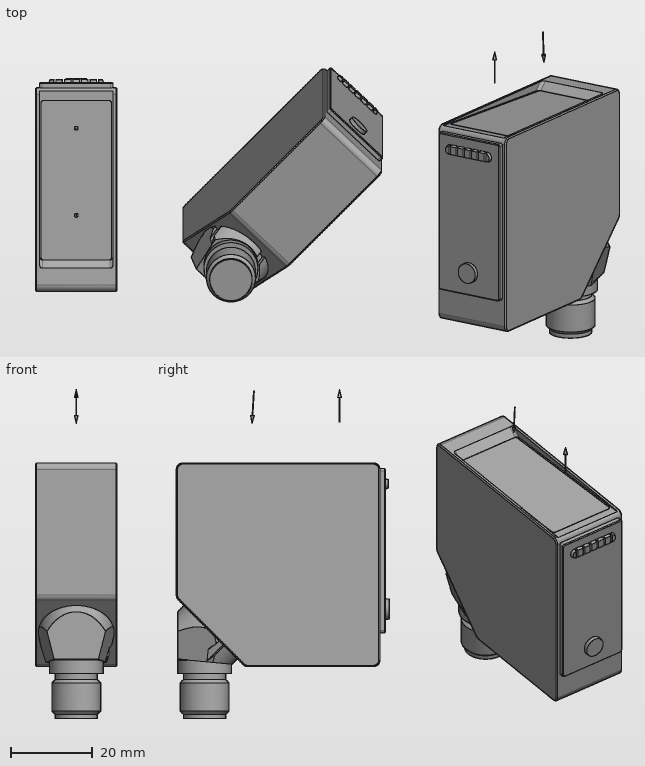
import cadquery as cq
import math


HOUSING_WIDTH = 20.0
HOUSING_SIDE = 49.95
CORNER_CUT = 16.9
CORNER_RADIUS = 1.6
EDGE_CHAMFER = 0.3

RECESS_WIDTH = 18.1
RECESS_FLOOR_BACK_Z = HOUSING_SIDE - 0.2
RECESS_DEPTH_FRONT = 1.9
RECESS_FLOOR_FRONT_Y = 7.75
RECESS_RIM_FRONT_Y = 5.7
RECESS_CORNER_RADIUS = 0.7
PANE_WIDTH = 17.3
PANE_BACK_Y = 46.8
PANE_STEP = 0.1
PANE_CORNER_RADIUS = 0.65

PLATE_WIDTH = 18.1
PLATE_BOTTOM_Z = 8.2
PLATE_TOP_Z = 48.6
PLATE_THICKNESS = 1.3
PLATE_CORNER_RADIUS = 0.65
PLATE_CHAMFER = 0.25
BUTTON_BASE_DIAMETER = 5.1
BUTTON_TOP_DIAMETER = 5.0
BUTTON_HEIGHT = 1.0
BUTTON_Z = 14.1
BAR_LENGTH = 13.4
BAR_WIDTH = 2.6
BAR_HEIGHT = 0.7
BAR_DRAFT = 20.0
BAR_Z = 44.8
BAR_SEGMENTS = 7
BAR_PITCH = 2.1
BAR_GAP = 0.5

ELBOW_DIAMETER = 18.55
ELBOW_FRONT_Y = 0.3
ELBOW_UNDERSIDE_Z = 1.85
ELBOW_UNDERSIDE_TILT = 5.4
ELBOW_FLAT_TAPER = 20.0
ELBOW_FLAT_OFFSET = 9.2
ELBOW_GROOVE_ANGLES = (24.5, -65.5)
ELBOW_GROOVE_WIDTH = 1.9
ELBOW_GROOVE_DEPTH = 1.0

PLUG_Y = 6.9
COLLAR_DIAMETER = 13.2
PLUG_NECK_DIAMETER = 10.4
PLUG_DIAMETER = 12.0
COLLAR_TOP_Z = 1.6
COLLAR_BOTTOM_Z = -1.7
PLUG_NECK_BOTTOM_Z = -3.15
PLUG_TOP_Z = -3.95
PLUG_BOTTOM_Z = -10.9
PLUG_TIP_TOP_Z = -11.7
PLUG_TIP_Z = -12.75

ARROW_LENGTH = 8.0
ARROW_HEAD_LENGTH = 2.0
ARROW_HEAD_DIAMETER = 1.0
ARROW_SHAFT_DIAMETER = 0.2
EMITTER_TAIL = (0, 40.0, 59.95)
RECEIVER_TAIL = (0, 19.05, 67.5)
RECEIVER_TILT = 3.5

REAR_PLATE_Y = HOUSING_SIDE + PLATE_THICKNESS
OVERLAP = 0.8
CLEARANCE = 24.2


def side_profile(points):
    """Closed outline of (y, z) points on the plane x = 0, extruded along +X."""
    return cq.Workplane("YZ").polyline(points).close()


def housing_block():
    outline = [
        (CORNER_CUT, 0),
        (HOUSING_SIDE, 0),
        (HOUSING_SIDE, HOUSING_SIDE),
        (0, HOUSING_SIDE),
        (0, CORNER_CUT),
    ]
    block = side_profile(outline).extrude(HOUSING_WIDTH / 2, both=True)
    block = block.edges("|X").fillet(CORNER_RADIUS)
    return block.faces("<X or >X").chamfer(EDGE_CHAMFER)


RECESS_FLOOR_FRONT_Z = HOUSING_SIDE - RECESS_DEPTH_FRONT
FLOOR_SLOPE = (RECESS_FLOOR_BACK_Z - RECESS_FLOOR_FRONT_Z) / (HOUSING_SIDE - RECESS_FLOOR_FRONT_Y)


def floor_z(y):
    """Height of the recess floor at depth y."""
    return RECESS_FLOOR_FRONT_Z + FLOOR_SLOPE * (y - RECESS_FLOOR_FRONT_Y)


def window_recess():
    """Wedge with a sloping floor and a ramp at its front, open to the rear."""
    back_y = HOUSING_SIDE + OVERLAP
    ramp_slope = RECESS_DEPTH_FRONT / (RECESS_FLOOR_FRONT_Y - RECESS_RIM_FRONT_Y)
    outline = [
        (RECESS_RIM_FRONT_Y - OVERLAP / ramp_slope, HOUSING_SIDE + OVERLAP),
        (RECESS_FLOOR_FRONT_Y, RECESS_FLOOR_FRONT_Z),
        (back_y, floor_z(back_y)),
        (back_y, HOUSING_SIDE + OVERLAP),
    ]
    wedge = side_profile(outline).extrude(RECESS_WIDTH / 2, both=True)
    ramp_side_edges = wedge.faces("<Y").edges("not |X")
    return ramp_side_edges.fillet(RECESS_CORNER_RADIUS)


def window_pane_pocket():
    """Shallow pocket in the sloping floor, with rounded corners."""
    front_y = RECESS_FLOOR_FRONT_Y
    outline = [
        (front_y, floor_z(front_y) - PANE_STEP),
        (PANE_BACK_Y, floor_z(PANE_BACK_Y) - PANE_STEP),
        (PANE_BACK_Y, HOUSING_SIDE),
        (front_y, HOUSING_SIDE),
    ]
    pocket = side_profile(outline).extrude(PANE_WIDTH / 2, both=True)
    return pocket.edges("|Z").fillet(PANE_CORNER_RADIUS)


def rear_plane(y):
    """Plane facing +Y at depth y; its local x is -X and its local y is Z."""
    return cq.Workplane(cq.Plane(origin=(0, y, 0), xDir=(-1, 0, 0), normal=(0, 1, 0)))


def cover_plate():
    height = PLATE_TOP_Z - PLATE_BOTTOM_Z
    plate = (
        rear_plane(HOUSING_SIDE - OVERLAP)
        .center(0, (PLATE_TOP_Z + PLATE_BOTTOM_Z) / 2)
        .rect(PLATE_WIDTH, height)
        .extrude(PLATE_THICKNESS + OVERLAP)
    )
    plate = plate.edges("|Y").fillet(PLATE_CORNER_RADIUS)
    return plate.faces(">Y").chamfer(PLATE_CHAMFER)


def button():
    draft = math.degrees(math.atan((BUTTON_BASE_DIAMETER - BUTTON_TOP_DIAMETER) / 2 / BUTTON_HEIGHT))
    return (
        rear_plane(REAR_PLATE_Y)
        .center(0, BUTTON_Z)
        .circle(BUTTON_BASE_DIAMETER / 2)
        .extrude(BUTTON_HEIGHT, taper=draft)
    )


def indicator_bar():
    """Long rounded bar with drafted sides, split by narrow gaps into equal segments."""
    bar = (
        rear_plane(REAR_PLATE_Y)
        .center(0, BAR_Z)
        .slot2D(BAR_LENGTH, BAR_WIDTH)
        .extrude(BAR_HEIGHT, taper=BAR_DRAFT)
    )
    gap_count = BAR_SEGMENTS - 1
    for index in range(gap_count):
        gap_x = (index - (gap_count - 1) / 2) * BAR_PITCH
        gap = (
            rear_plane(REAR_PLATE_Y)
            .center(gap_x, BAR_Z)
            .rect(BAR_GAP, BAR_WIDTH)
            .extrude(BAR_HEIGHT)
        )
        bar = bar.cut(gap)
    return bar


def swivel_plane():
    """Plane of the corner cut: local x is X, local y points up the cut, normal points outwards."""
    middle = CORNER_CUT / 2
    return cq.Plane(origin=(0, middle, middle), xDir=(1, 0, 0), normal=(0, -1, -1))


def swivel_elbow():
    length = CORNER_CUT
    plane = swivel_plane()
    elbow = (
        cq.Workplane(plane)
        .workplane(offset=-OVERLAP)
        .circle(ELBOW_DIAMETER / 2)
        .extrude(length + OVERLAP)
    )
    return elbow.intersect(elbow_flats(length)).intersect(elbow_front_and_underside()).cut(elbow_grooves(length))


def elbow_flats(length):
    """Wedge whose two sloping sides make the side flats of the elbow."""
    narrowing = math.tan(math.radians(ELBOW_FLAT_TAPER))
    base_half_width = ELBOW_FLAT_OFFSET + OVERLAP * narrowing
    end_half_width = ELBOW_FLAT_OFFSET - length * narrowing
    outline = [
        (-base_half_width, -OVERLAP),
        (base_half_width, -OVERLAP),
        (end_half_width, length),
        (-end_half_width, length),
    ]
    swivel = swivel_plane()
    across = cq.Plane(origin=swivel.origin, xDir=(1, 0, 0), normal=swivel.yDir * -1)
    return cq.Workplane(across).polyline(outline).close().extrude(CLEARANCE, both=True)


def elbow_front_and_underside():
    """Space behind the front flat and above the slightly tilted underside."""
    drop = CLEARANCE * math.tan(math.radians(ELBOW_UNDERSIDE_TILT))
    outline = [
        (ELBOW_FRONT_Y, ELBOW_UNDERSIDE_Z),
        (ELBOW_FRONT_Y + CLEARANCE, ELBOW_UNDERSIDE_Z - drop),
        (ELBOW_FRONT_Y + CLEARANCE, CLEARANCE),
        (ELBOW_FRONT_Y, CLEARANCE),
    ]
    return side_profile(outline).extrude(CLEARANCE, both=True)


def elbow_grooves(length):
    """Straight grooves along the swivel axis in the round side of the elbow."""
    grooves = cq.Workplane(swivel_plane())
    for angle in ELBOW_GROOVE_ANGLES:
        groove = (
            cq.Workplane(swivel_plane())
            .transformed(rotate=(0, 0, -angle))
            .center(0, -ELBOW_DIAMETER / 2)
            .rect(ELBOW_GROOVE_WIDTH, 2 * ELBOW_GROOVE_DEPTH)
            .extrude(length)
        )
        grooves = grooves.add(groove)
    return grooves.combine()


def plug():
    """Collar, neck and plug end turned about a vertical axis."""
    collar = COLLAR_DIAMETER / 2
    neck = PLUG_NECK_DIAMETER / 2
    barrel = PLUG_DIAMETER / 2
    outline = [
        (0, COLLAR_TOP_Z),
        (collar, COLLAR_TOP_Z),
        (collar, COLLAR_BOTTOM_Z),
        (neck, COLLAR_BOTTOM_Z),
        (neck, PLUG_NECK_BOTTOM_Z),
        (barrel, PLUG_TOP_Z),
        (barrel, PLUG_BOTTOM_Z),
        (neck, PLUG_TIP_TOP_Z),
        (neck, PLUG_TIP_Z),
        (0, PLUG_TIP_Z),
    ]
    return cq.Workplane("XZ", origin=(0, PLUG_Y, 0)).polyline(outline).close().revolve(360, (0, 0), (0, 1))


def sensor_housing():
    body = housing_block().cut(window_recess()).cut(window_pane_pocket())
    for feature in (cover_plate(), button(), indicator_bar(), swivel_elbow(), plug()):
        body = body.union(feature)
    return body


def beam_arrow(tail, direction):
    """Thin shaft from the tail with a conical head at its far end."""
    shaft = ARROW_SHAFT_DIAMETER / 2
    head = ARROW_HEAD_DIAMETER / 2
    head_start = ARROW_LENGTH - ARROW_HEAD_LENGTH
    outline = [
        (0, 0),
        (shaft, 0),
        (shaft, head_start),
        (head, head_start),
        (0, ARROW_LENGTH),
    ]
    plane = cq.Plane(origin=tail, xDir=(1, 0, 0), normal=cq.Vector(1, 0, 0).cross(cq.Vector(*direction)))
    return cq.Workplane(plane).polyline(outline).close().revolve(360, (0, 0), (0, 1))


tilt = math.radians(RECEIVER_TILT)
BEAM_ARROWS = (
    (EMITTER_TAIL, (0, 0, 1)),
    (RECEIVER_TAIL, (0, -math.sin(tilt), -math.cos(tilt))),
)

housing = sensor_housing()
arrows = [beam_arrow(tail, direction) for tail, direction in BEAM_ARROWS]

result = cq.Compound.makeCompound([housing.val(), *[arrow.val() for arrow in arrows]])